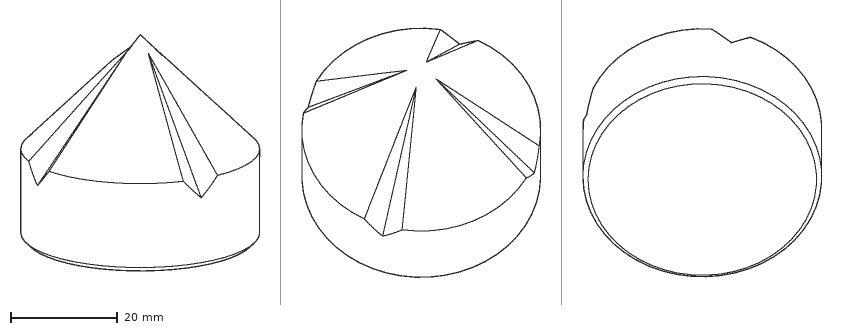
import cadquery as cq
import math

diameter = 45.0
total_height = 40.0
bottom_chamfer = 1.0
cone_angle = 45.0
groove_count = 4
groove_slope = 50.0
groove_start_radius = 2.95
groove_included_angle = 120.0
groove_tool_height = 13.5
groove_overrun = 18.0

radius = diameter / 2
cone_height = radius * math.tan(math.radians(cone_angle))
shoulder_height = total_height - cone_height
groove_start_height = total_height - groove_start_radius * math.tan(math.radians(cone_angle))
groove_tool_half_width = groove_tool_height * math.tan(math.radians(groove_included_angle / 2))
groove_length = (radius - groove_start_radius) / math.cos(math.radians(groove_slope)) + groove_overrun


def make_blank():
    """Round base with a chamfered bottom edge and a conical point."""
    profile = [
        (0, 0),
        (radius - bottom_chamfer, 0),
        (radius, bottom_chamfer),
        (radius, shoulder_height),
        (0, total_height),
    ]
    return cq.Workplane("XZ").polyline(profile).close().revolve(360, (0, 0), (0, 1))


def make_groove_cutter(turn):
    """V-shaped prism running down and outward along the cone, turned about Z."""
    slope = math.radians(groove_slope)
    section_plane = cq.Plane(
        origin=(groove_start_radius, 0, groove_start_height),
        xDir=(0, 1, 0),
        normal=(math.cos(slope), 0, -math.sin(slope)),
    )
    section = [
        (0, 0),
        (groove_tool_half_width, groove_tool_height),
        (-groove_tool_half_width, groove_tool_height),
    ]
    cutter = cq.Workplane(section_plane).polyline(section).close().extrude(groove_length)
    return cutter.rotate((0, 0, 0), (0, 0, 1), turn)


def make_grooved_point():
    """Conical point with evenly spaced V grooves around its axis."""
    point = make_blank()
    for index in range(groove_count):
        point = point.cut(make_groove_cutter(index * 360 / groove_count))
    return point


grooved_point = make_grooved_point()

result = cq.Compound.makeCompound([grooved_point.val()])